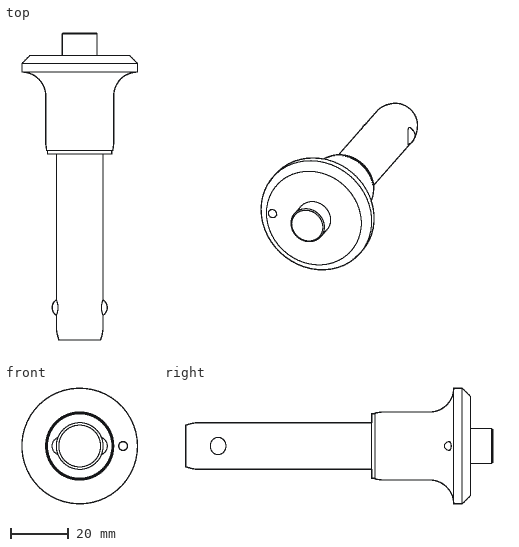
import cadquery as cq
import math

overall_length = 106.2

head_diameter = 40.0
head_radius = head_diameter / 2
body_radius = 11.8
handle_length = 34.2
rim_width = 3.0
head_chamfer = 2.9
flare_radius = head_radius - body_radius

collar_radius = 11.2
collar_length = 1.3
taper_end_radius = 11.5
taper_length = 2.3

button_radius = 6.1
button_length = 7.8
button_chamfer = 0.4

shank_radius = 8.1
shank_length = overall_length - handle_length - button_length
tip_radius = 7.2
tip_length = 3.5
tip_bulge = 0.1

ball_radius = 3.2
ball_reach = 9.6
ball_from_tip = 11.3

lanyard_radius = 1.5
lanyard_offset = 15.0


def make_body():
    """Revolve the half outline, running from the tip up to the button."""
    tip_y = -shank_length
    tip_mid = ((tip_radius + shank_radius) / 2 + tip_bulge, tip_y + tip_length / 2)
    taper_end_y = collar_length + taper_length
    rim_top_y = handle_length - head_chamfer
    rim_bottom_y = rim_top_y - rim_width
    flare_start_y = rim_bottom_y - flare_radius
    flare_mid = (
        head_radius - flare_radius * math.cos(math.pi / 4),
        flare_start_y + flare_radius * math.sin(math.pi / 4),
    )
    button_y = handle_length + button_length

    outline = (
        cq.Workplane("XY")
        .moveTo(0, tip_y)
        .lineTo(tip_radius, tip_y)
        .threePointArc(tip_mid, (shank_radius, tip_y + tip_length))
        .lineTo(shank_radius, 0)
        .lineTo(collar_radius, 0)
        .lineTo(collar_radius, collar_length)
        .lineTo(taper_end_radius, collar_length)
        .lineTo(body_radius, taper_end_y)
        .lineTo(body_radius, flare_start_y)
        .threePointArc(flare_mid, (head_radius, rim_bottom_y))
        .lineTo(head_radius, rim_top_y)
        .lineTo(head_radius - head_chamfer, handle_length)
        .lineTo(button_radius, handle_length)
        .lineTo(button_radius, button_y - button_chamfer)
        .lineTo(button_radius - button_chamfer, button_y)
        .lineTo(0, button_y)
        .close()
    )
    return outline.revolve(360, (0, 0, 0), (0, 1, 0))


def make_ball(side):
    """Make the locking ball on the +X (side = 1) or -X (side = -1) flank."""
    center_x = side * (ball_reach - ball_radius)
    center_y = ball_from_tip - shank_length
    return cq.Workplane("XY").sphere(ball_radius).translate((center_x, center_y, 0))


def make_lanyard_hole():
    """Make a cutter parallel to the pin axis, passing through the head."""
    return (
        cq.Workplane("XZ")
        .center(lanyard_offset, 0)
        .circle(lanyard_radius)
        .extrude(-handle_length)
    )


result = make_body()
for side in (-1, 1):
    result = result.union(make_ball(side))
result = result.cut(make_lanyard_hole())